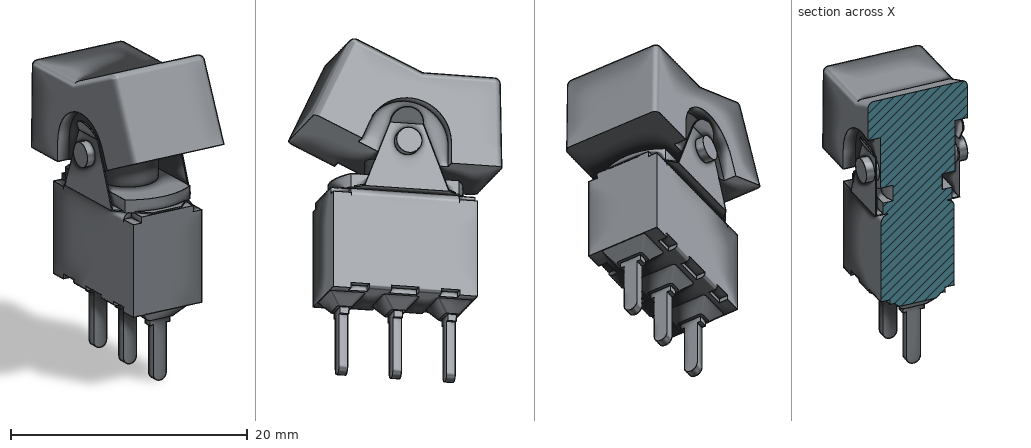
import cadquery as cq
import math

body_length = 12.6
body_width = 6.86
body_height = 8.89
top_edge_radius = 0.76
corner_notch_length = 1.57
corner_notch_height = 0.54
notch_depth = 0.84
foot_notch_height = 0.45
bottom_edge_radius = 0.35
foot_notch_outer_x = 4.75
foot_notch_inner_x = 3.15
centre_notch_half_length = 1.2

collar_diameter = 11.43
collar_width = 6.5
collar_height = 1.17
bushing_diameter = 5.2

pivot_height = 12.94
pivot_diameter = 2.2
pivot_length = 9.45

bracket_floor_length = 12.4
bracket_width = 7.9
sheet_thickness = 0.12
tab_base_length = 7.4
tab_top_length = 2.9
tab_top_height = 14.63
lip_lean = 26.5

rocker_tilt = 12.0
rocker_width = 9.32
rocker_reach = 8.23
rocker_end_draft = 0.15
rocker_depth_below_pivot = 1.78
rocker_end_height = 6.09
rocker_crease_height = 6.12
rocker_edge_radius = 0.55
recess_radius = 3.7
recess_depth = 1.15

terminal_pitch = 4.7
terminal_thickness = 0.76
terminal_width = 1.3
terminal_bottom = -6.73
shoulder_width = 2.0
shoulder_bottom = -1.61
mound_height = 1.05
mound_top_size = (3.1, 4.3)
mound_bottom_size = (1.3, 2.5)
mound_corner_radius = 0.25

tilt_sin = math.sin(math.radians(rocker_tilt))
tilt_cos = math.cos(math.radians(rocker_tilt))


def box_between(x_range, y_range, z_range):
    size = [end - start for start, end in (x_range, y_range, z_range)]
    corner = (x_range[0], y_range[0], z_range[0])
    return cq.Workplane("XY").box(*size, centered=False).translate(corner)


def extrude_across(profile, width):
    """Extrude an XZ profile symmetrically along Y."""
    return profile.extrude(width / 2, both=True)


def make_body():
    """Block with rounded long edges, notched top corners and notched bottom edges."""
    half_length = body_length / 2
    half_width = body_width / 2
    body = cq.Workplane("XY").box(body_length, body_width, body_height, centered=(True, True, False))
    body = body.edges("|X and >Z").fillet(top_edge_radius)
    body = body.edges("|X and <Z").fillet(bottom_edge_radius)

    top_end = half_length - corner_notch_length
    notch_floor = body_height - corner_notch_height
    inner_y = half_width - notch_depth
    foot_spans = [
        (-foot_notch_outer_x, -foot_notch_inner_x),
        (-centre_notch_half_length, centre_notch_half_length),
        (foot_notch_inner_x, foot_notch_outer_x),
    ]
    for y_range in ((-half_width, -inner_y), (inner_y, half_width)):
        for x_range in ((-half_length, -top_end), (top_end, half_length)):
            square_top = (body_height - top_edge_radius, notch_floor)
            body = body.union(box_between(x_range, y_range, square_top))
            body = body.cut(box_between(x_range, y_range, (notch_floor, body_height)))
        for x_range in ((-half_length, -foot_notch_outer_x), (foot_notch_outer_x, half_length)):
            body = body.union(box_between(x_range, y_range, (0, bottom_edge_radius)))
        for x_range in foot_spans:
            body = body.cut(box_between(x_range, y_range, (0, foot_notch_height)))
    return body


def make_collar():
    """Disc with two flats, and the round bushing rising from it to the pivot."""
    base = cq.Workplane("XY").workplane(offset=body_height)
    disc = base.circle(collar_diameter / 2).extrude(collar_height)
    flats = base.rect(collar_diameter, collar_width).extrude(collar_height)
    bushing = base.circle(bushing_diameter / 2).extrude(pivot_height - body_height)
    return disc.intersect(flats).union(bushing)


def make_lip():
    """Half-round tip of the -Y tab, leaning outwards about the inner top edge of the tab."""
    radius = tab_top_length / 2
    lip = (
        cq.Workplane("XZ")
        .moveTo(-radius, 0)
        .threePointArc((0, radius), (radius, 0))
        .close()
        .extrude(sheet_thickness)
    )
    lip = lip.rotate((0, 0, 0), (1, 0, 0), lip_lean)
    return lip.translate((0, -(bracket_width / 2 - sheet_thickness), tab_top_height))


def make_bracket():
    """U-shaped strip: a floor on the body with 45 degree corners, two tapered tabs and their lips."""
    tabs = extrude_across(
        cq.Workplane("XZ").polyline([
            (-tab_base_length / 2, body_height),
            (tab_base_length / 2, body_height),
            (tab_top_length / 2, tab_top_height),
            (-tab_top_length / 2, tab_top_height),
        ]).close(),
        bracket_width,
    )
    inner_y = bracket_width / 2 - sheet_thickness
    x_range = (-tab_base_length / 2, tab_base_length / 2)
    inside = box_between(x_range, (-inner_y, inner_y), (body_height + sheet_thickness, tab_top_height))
    corner_cut = (bracket_floor_length - tab_base_length) / 2
    floor = (
        cq.Workplane("XY")
        .box(bracket_floor_length, bracket_width, sheet_thickness, centered=(True, True, False))
        .edges("|Z")
        .chamfer(corner_cut)
        .translate((0, 0, body_height))
    )
    lip = make_lip()
    return tabs.cut(inside).union(floor).union(lip).union(lip.mirror("XZ"))


def make_recess():
    """Cutter for the -Y recess: round over the pivot, open along both bottom faces."""
    drop = recess_radius + rocker_depth_below_pivot
    round_part = cq.Workplane("XZ").circle(recess_radius).extrude(recess_depth)
    left = (
        cq.Workplane("XZ")
        .polyline([(0, 0), (-recess_radius, 0), (-recess_radius, -drop), (0, -drop)])
        .close()
        .extrude(recess_depth)
    )
    right = left.mirror("YZ").rotate((0, 0, 0), (0, 1, 0), -2 * rocker_tilt)
    cutter = round_part.union(left).union(right)
    return cutter.translate((0, -(rocker_width / 2 - recess_depth), 0))


def is_rounded_rocker_edge(edge):
    """True above the bottom faces, except on the crease between the two halves."""
    center = edge.Center()
    return center.z > rocker_edge_radius and abs(center.x) > rocker_edge_radius


def make_rocker():
    """V-shaped rocker with rounded outer edges and a recess on each side."""
    crease_x = -rocker_crease_height * tilt_sin / tilt_cos
    vertex_x = rocker_depth_below_pivot * tilt_sin / tilt_cos
    left = extrude_across(
        cq.Workplane("XZ").polyline([
            (vertex_x, -rocker_depth_below_pivot),
            (-rocker_reach, -rocker_depth_below_pivot),
            (-rocker_reach + rocker_end_draft, rocker_end_height),
            (crease_x, rocker_crease_height),
        ]).close(),
        rocker_width,
    )
    right = left.mirror("YZ").rotate((0, 0, 0), (0, 1, 0), -2 * rocker_tilt)
    rocker = left.union(right)

    upright = rocker.rotate((0, 0, 0), (0, 1, 0), rocker_tilt)
    upright = upright.edges().filter(is_rounded_rocker_edge).fillet(rocker_edge_radius)
    rocker = upright.rotate((0, 0, 0), (0, 1, 0), -rocker_tilt)

    recess = make_recess()
    rocker = rocker.cut(recess).cut(recess.mirror("XZ"))
    return rocker.translate((0, 0, pivot_height))


def make_pivot():
    pivot = extrude_across(cq.Workplane("XZ").circle(pivot_diameter / 2), pivot_length)
    return pivot.translate((0, 0, pivot_height))


def rounded_rectangle(size):
    return cq.Sketch().rect(*size).vertices().fillet(mound_corner_radius)


def make_terminal():
    """Sealing mound, shouldered blade and round blade tip, centred on X = 0."""
    mound = (
        cq.Workplane("XY")
        .placeSketch(
            rounded_rectangle(mound_top_size),
            rounded_rectangle(mound_bottom_size).moved(cq.Location(cq.Vector(0, 0, -mound_height))),
        )
        .loft()
    )
    tip_radius = terminal_width / 2
    tip_start = terminal_bottom + tip_radius
    blade = (
        cq.Workplane("YZ")
        .moveTo(-shoulder_width / 2, 0)
        .lineTo(-shoulder_width / 2, shoulder_bottom)
        .lineTo(-tip_radius, shoulder_bottom)
        .lineTo(-tip_radius, tip_start)
        .threePointArc((0, terminal_bottom), (tip_radius, tip_start))
        .lineTo(tip_radius, shoulder_bottom)
        .lineTo(shoulder_width / 2, shoulder_bottom)
        .lineTo(shoulder_width / 2, 0)
        .close()
        .extrude(terminal_thickness / 2, both=True)
    )
    return mound.union(blade)


result = make_body().union(make_collar()).union(make_bracket()).union(make_rocker()).union(make_pivot())
for position in (-1, 0, 1):
    result = result.union(make_terminal().translate((position * terminal_pitch, 0, 0)))